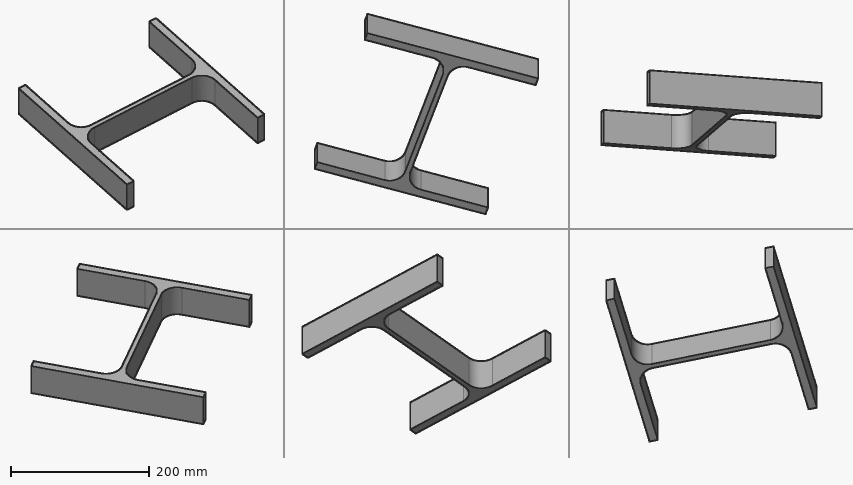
import cadquery as cq

flange_width = 260.0
section_depth = 250.0
length = 50.0
flange_thickness = 12.5
web_thickness = 7.5
root_radius = 24.0

web_height = section_depth - 2 * flange_thickness
flange_offset = (section_depth - flange_thickness) / 2


def flange(center_y):
    """Flat plate across the end of the web."""
    return cq.Workplane("XY").box(flange_width, flange_thickness, length).translate((0, center_y, 0))


web = cq.Workplane("XY").box(web_thickness, web_height, length)
section = web.union(flange(flange_offset)).union(flange(-flange_offset))

root_corners = [
    (side_x * web_thickness / 2, side_y * web_height / 2, 0)
    for side_x in (-1, 1)
    for side_y in (-1, 1)
]
for corner in root_corners:
    section = section.edges("|Z").edges(cq.selectors.NearestToPointSelector(corner)).fillet(root_radius)

result = section